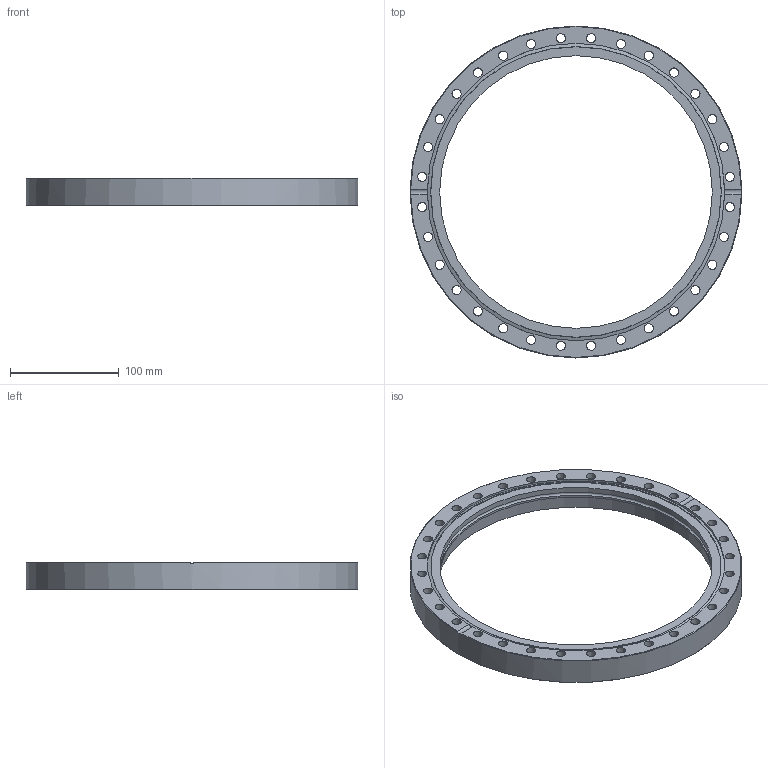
import cadquery as cq
import math

outer_diameter = 305.0
thickness = 25.0
bore_diameter = 250.5
rim_chamfer = 0.5

recess_diameter = 273.2
knife_edge_diameter = 267.2
knife_edge_drop = 1.0
knife_edge_height = 0.5
knife_back_angle = 20.0
knife_slope = 20.0

socket_diameter = 254.5
socket_depth = 13.0
lip_height = 1.9
relief_radius = 1.7

bolt_count = 32
bolt_circle_diameter = 284.0
bolt_hole_diameter = 8.4

leak_groove_width = 5.0
leak_groove_depth = 0.95

outer_radius = outer_diameter / 2
bore_radius = bore_diameter / 2
recess_radius = recess_diameter / 2
knife_radius = knife_edge_diameter / 2
socket_radius = socket_diameter / 2
knife_z = thickness - knife_edge_drop
inner_face_z = knife_z - knife_edge_height
knife_foot_radius = knife_radius - knife_edge_height * math.tan(math.radians(knife_back_angle))
trough_z = knife_z - (recess_radius - knife_radius) * math.tan(math.radians(knife_slope))
relief_bottom_z = socket_depth + lip_height
relief_middle_z = relief_bottom_z + relief_radius
relief_top_z = relief_middle_z + relief_radius


def make_ring():
    """Revolve the cross-section about Z; the sketch holds radius and height."""
    section = (
        cq.Workplane("XZ")
        .moveTo(socket_radius, 0)
        .lineTo(outer_radius - rim_chamfer, 0)
        .lineTo(outer_radius, rim_chamfer)
        .lineTo(outer_radius, thickness - rim_chamfer)
        .lineTo(outer_radius - rim_chamfer, thickness)
        .lineTo(recess_radius, thickness)
        .lineTo(recess_radius, trough_z)
        .lineTo(knife_radius, knife_z)
        .lineTo(knife_foot_radius, inner_face_z)
        .lineTo(bore_radius, inner_face_z)
        .lineTo(bore_radius, relief_top_z)
        .threePointArc((bore_radius + relief_radius, relief_middle_z), (bore_radius, relief_bottom_z))
        .lineTo(bore_radius, socket_depth)
        .lineTo(socket_radius, socket_depth)
        .close()
    )
    return section.revolve(360, (0, 0, 0), (0, 1, 0))


def make_bolt_holes():
    """Through holes, with the X axis midway between two neighbours."""
    pitch_angle = 360 / bolt_count
    return (
        cq.Workplane("XY")
        .polarArray(bolt_circle_diameter / 2, pitch_angle / 2, 360, bolt_count)
        .circle(bolt_hole_diameter / 2)
        .extrude(thickness)
    )


def make_leak_groove(side):
    """Round-bottomed groove from the recess to the rim; side is +1 or -1 along X."""
    half_width = leak_groove_width / 2
    radius = (half_width**2 + leak_groove_depth**2) / (2 * leak_groove_depth)
    axis_z = thickness - leak_groove_depth + radius
    return (
        cq.Workplane("YZ", origin=(side * knife_radius, 0, 0))
        .center(0, axis_z)
        .circle(radius)
        .extrude(side * (outer_radius - knife_radius))
    )


result = make_ring().cut(make_bolt_holes())
for groove_side in (-1, 1):
    result = result.cut(make_leak_groove(groove_side))